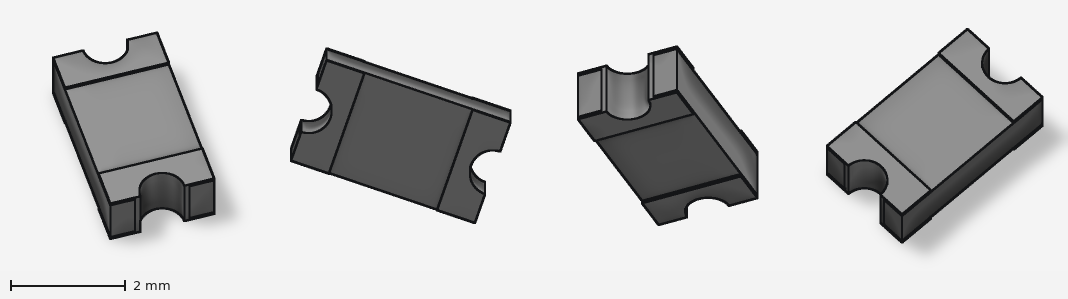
import cadquery as cq

length = 3.4
width = 1.9
height = 1.0

pad_thickness = 0.05
pad_length = 0.7
notch_radius = 0.4
sleeve_thickness = 0.1
sleeve_radius = notch_radius + sleeve_thickness

board_height = height - 2 * pad_thickness
end_x = length / 2
board_bottom = -board_height / 2
chip_bottom = -height / 2


def end_cylinder(side, radius):
    """Full-height cylinder standing on the middle of one end face."""
    return (
        cq.Workplane("XY", origin=(side * end_x, 0, chip_bottom))
        .circle(radius)
        .extrude(height)
    )


def make_board():
    """Plain board with a half-round recess for the sleeve at each end."""
    board = cq.Workplane("XY").box(length, width, board_height)
    for side in (-1, 1):
        board = board.cut(end_cylinder(side, sleeve_radius))
    return board


def make_terminal(side):
    """Top and bottom pads plus the sleeve lining the end recess, as one solid."""
    pad_center_x = side * (end_x - pad_length / 2)
    block = cq.Workplane("XY", origin=(pad_center_x, 0, 0)).box(pad_length, width, height)
    pads = block.cut(cq.Workplane("XY").box(length, width, board_height))
    sleeve = block.intersect(end_cylinder(side, sleeve_radius))
    return pads.union(sleeve).cut(end_cylinder(side, notch_radius))


board = make_board()
terminals = [make_terminal(side) for side in (-1, 1)]

result = cq.Compound.makeCompound([board.val(), *[terminal.val() for terminal in terminals]])